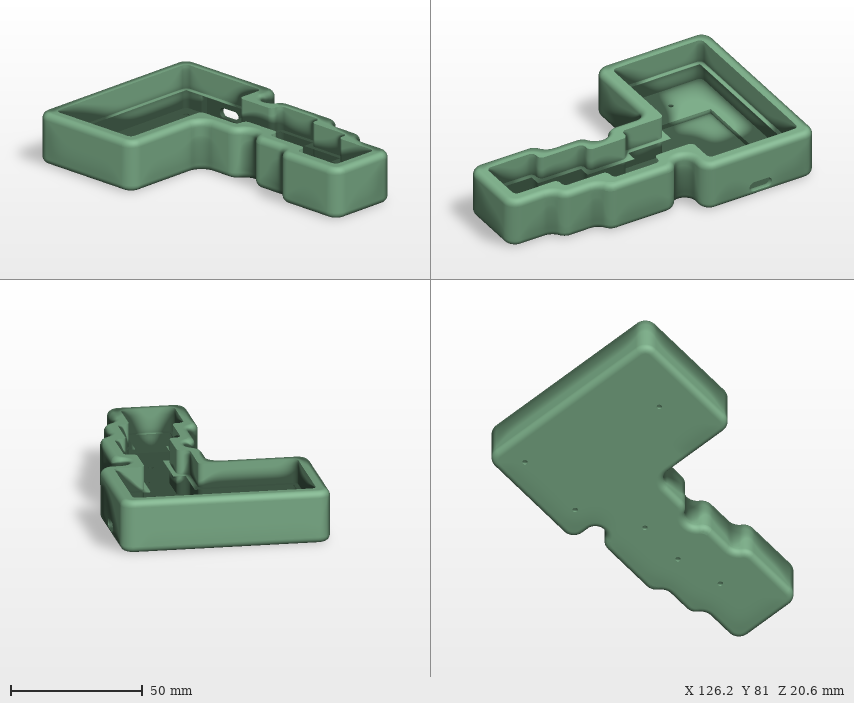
import cadquery as cq
import math

length = 126.2
depth = 81.0
height = 20.6
head_length = 50.0
wall = 5.0
corner_radius = 5.0
rim_radius = 2.5

handle_top = 69.0
handle_width = 30.9
handle_bottom = handle_top - handle_width
first_joint_x = 63.1
column_pitch = 19.1
stagger = column_pitch / 4
column_levels = [0, 1, 0, -1]
joints = [first_joint_x + i * column_pitch for i in range(len(column_levels) - 1)]

notch_radius = 4.0
top_shoulder_1_x = 84.5
top_shoulder_2_x = 102.0
bottom_shoulder_x = 100.0
finger_notch_x = first_joint_x + column_pitch / 2

floor_thickness = 3.0
cavity_radius = 2.0

lip_width = 1.9
lip_thickness = 0.1
lip_bottom = 11.0

recess_center_x = head_length / 2
recess_width = 23.6
recess_bottom_y = 25.1
recess_floor = 1.0
niche_depth = 3.0

slot_length = 10.0
slot_height = 4.0
slot_z = 4.3

hole_diameter = 2.0
head_hole_offset = 14.5
head_hole_top_y = 70.6
head_hole_bottom_y = 15.4
handle_middle_y = (handle_top + handle_bottom) / 2


def step_run(start_radius, end_radius):
    """Distance along X of two opposite tangent arcs that rise or fall by one stagger."""
    return math.sqrt(2 * (start_radius + end_radius) * stagger - stagger**2)


def add_step(sketch, start, end, start_radius=corner_radius, end_radius=corner_radius):
    """Add an S-shaped step made of two opposite arcs, both level at their outer ends."""
    share = start_radius / (start_radius + end_radius)
    inflection = tuple(a + share * (b - a) for a, b in zip(start, end))
    return sketch.tangentArcPoint(inflection, relative=False).tangentArcPoint(end, relative=False)


def add_corner(sketch, end):
    """Round a corner with a quarter arc that continues the previous edge."""
    return sketch.tangentArcPoint(end, relative=False)


def outer_outline():
    """Outline of the housing, drawn clockwise from the lower end of the left side."""
    radius = corner_radius
    run = step_run(radius, radius)
    raised_top = handle_top + stagger
    lowered_top = handle_top - stagger
    raised_bottom = handle_bottom + stagger
    lowered_bottom = handle_bottom - stagger
    notch_x = head_length + notch_radius
    notch_end_x = notch_x + step_run(notch_radius, radius)

    sketch = cq.Workplane("XY").moveTo(0, radius).lineTo(0, depth - radius)
    sketch = add_corner(sketch, (radius, depth)).lineTo(head_length - radius, depth)
    sketch = add_corner(sketch, (head_length, depth - radius)).lineTo(head_length, handle_top + notch_radius)

    sketch = add_corner(sketch, (notch_x, handle_top))
    sketch = add_step(sketch, (notch_x, handle_top), (notch_end_x, raised_top), start_radius=notch_radius)
    sketch = sketch.lineTo(top_shoulder_1_x, raised_top)
    sketch = add_step(sketch, (top_shoulder_1_x, raised_top), (top_shoulder_1_x + run, handle_top))
    sketch = sketch.lineTo(top_shoulder_2_x, handle_top)
    sketch = add_step(sketch, (top_shoulder_2_x, handle_top), (top_shoulder_2_x + run, lowered_top))

    sketch = add_corner(sketch.lineTo(length - radius, lowered_top), (length, lowered_top - radius))
    sketch = add_corner(sketch.lineTo(length, lowered_bottom + radius), (length - radius, lowered_bottom))

    sketch = sketch.lineTo(bottom_shoulder_x, lowered_bottom)
    sketch = add_step(sketch, (bottom_shoulder_x, lowered_bottom), (bottom_shoulder_x - run, handle_bottom))
    sketch = sketch.lineTo(finger_notch_x + run, handle_bottom)
    sketch = add_step(sketch, (finger_notch_x + run, handle_bottom), (finger_notch_x, raised_bottom))
    sketch = add_step(sketch, (finger_notch_x, raised_bottom), (finger_notch_x - run, handle_bottom))
    sketch = sketch.lineTo(head_length + radius, handle_bottom)

    sketch = add_corner(sketch, (head_length, handle_bottom - radius)).lineTo(head_length, radius)
    sketch = add_corner(sketch, (head_length - radius, 0)).lineTo(radius, 0)
    return add_corner(sketch, (0, radius)).close()


def handle_edge(edge_y, shift):
    """Stepped edge of the handle from left to right; rising steps move by +shift, falling by -shift."""
    points = []
    for joint, level, next_level in zip(joints, column_levels, column_levels[1:]):
        x = joint + shift * (next_level - level)
        points += [(x, edge_y + level * stagger), (x, edge_y + next_level * stagger)]
    return points


def inner_outline(inset):
    """Sharp-cornered outline that lies inside the housing by the given inset."""
    head_right = head_length - inset
    handle_right = length - inset
    top = handle_top - inset
    bottom = handle_bottom + inset
    shift = inset - wall - lip_width / 2
    end_level = column_levels[-1] * stagger
    points = [(inset, inset), (inset, depth - inset), (head_right, depth - inset), (head_right, top)]
    points += handle_edge(top, shift)
    points += [(handle_right, top + end_level), (handle_right, bottom + end_level)]
    points += reversed(handle_edge(bottom, -shift))
    points += [(head_right, bottom), (head_right, inset)]
    return cq.Workplane("XY").polyline(points).close()


def cavity_block(block_height):
    """Solid with the plan of the cavity."""
    return inner_outline(wall).extrude(block_height).edges("|Z").fillet(cavity_radius)


def board_recess():
    """Recess in the floor together with the niche up to the underside of the lip ring."""
    niche_y = depth - wall + niche_depth
    return (
        cq.Workplane("XY")
        .box(recess_width, niche_y - recess_bottom_y, lip_bottom - recess_floor, centered=(True, False, False))
        .translate((recess_center_x, recess_bottom_y, recess_floor))
    )


def connector_slot():
    """Rounded slot along Y, long enough to pass through the whole +Y wall."""
    return (
        cq.Workplane("XZ", origin=(recess_center_x, depth, slot_z))
        .slot2D(slot_length, slot_height)
        .extrude(wall)
    )


def screw_holes():
    """Two holes at the top of the head, one at its bottom and one at each handle joint."""
    centers = [
        (recess_center_x - head_hole_offset, head_hole_top_y),
        (recess_center_x + head_hole_offset, head_hole_top_y),
        (recess_center_x, head_hole_bottom_y),
    ]
    for joint, level, next_level in zip(joints, column_levels, column_levels[1:]):
        centers.append((joint, handle_middle_y + stagger * (level + next_level) / 2))
    return cq.Workplane("XY").pushPoints(centers).circle(hole_diameter / 2).extrude(floor_thickness)


def make_housing():
    body = outer_outline().extrude(height).faces("<Z or >Z").edges().fillet(rim_radius)
    cavity = cavity_block(height - floor_thickness).translate((0, 0, floor_thickness))
    return body.cut(cavity).cut(board_recess()).cut(connector_slot()).cut(screw_holes())


def make_lip_ring():
    opening = inner_outline(wall + lip_width).extrude(lip_thickness)
    return cavity_block(lip_thickness).cut(opening).translate((0, 0, lip_bottom))


housing = make_housing()
lip_ring = make_lip_ring()
result = cq.Compound.makeCompound([housing.val(), lip_ring.val()])